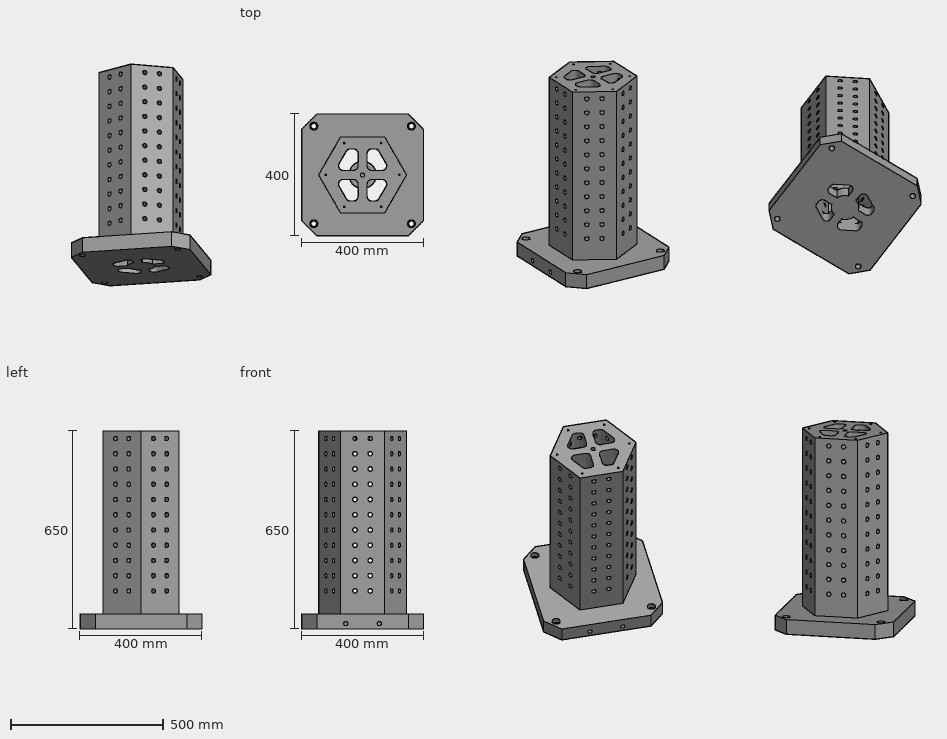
import cadquery as cq
import math

DRILL_POINT_ANGLE = 118.0

BASE_SIZE = 400.0
BASE_THICKNESS = 50.0
BASE_CORNER_CUT = 50.0

TOTAL_HEIGHT = 650.0
HEX_ACROSS_FLATS = 250.0
HEX_SIDES = 6
WALL_THICKNESS = 40.0
CAVITY_ACROSS_FLATS = HEX_ACROSS_FLATS - 2 * WALL_THICKNESS

WEB_WIDTH = 30.0
WINDOW_FILLET = 15.0
TOP_WEB_THICKNESS = 70.0

HUB_DIAMETER = 90.0

LIFTING_HOLE_DIAMETER = 13.84
LIFTING_HOLE_DEPTH = 40.0

PIN_HOLE_DIAMETER = 5.0
PIN_HOLE_DEPTH = 10.0
PIN_CIRCLE_RADIUS = 121.0

FIXTURE_HOLE_DIAMETER = 14.0
FIXTURE_HOLE_DEPTH = WALL_THICKNESS
FIXTURE_HOLE_SPACING = 50.0
FIXTURE_ROW_PITCH = 50.0
FIXTURE_ROW_COUNT = 11
TOP_ROW_INSET = 25.0

MOUNT_HOLE_SPACING = 320.0
MOUNT_HOLE_DIAMETER = 18.0
COUNTERBORE_DIAMETER = 26.0
COUNTERBORE_DEPTH = 18.0

EDGE_HOLE_SPACING = 110.0
EDGE_HOLE_HEIGHT = 18.0
EDGE_HOLE_DIAMETER = 14.0
EDGE_HOLE_DEPTH = 30.0


def hex_prism(across_flats, bottom, top):
    """Hexagonal prism with corners on the X axis."""
    across_corners = across_flats / math.cos(math.pi / HEX_SIDES)
    plane = cq.Workplane("XY", origin=(0, 0, bottom))
    return plane.polygon(HEX_SIDES, across_corners).extrude(top - bottom)


def drilled_hole(diameter, depth, start, direction):
    """Round blind hole with a conical drill point beyond its full depth."""
    radius = diameter / 2
    point = radius / math.tan(math.radians(DRILL_POINT_ANGLE / 2))
    origin = cq.Vector(*start)
    axis = cq.Vector(*direction)
    shank = cq.Solid.makeCylinder(radius, depth, origin, axis)
    tip = cq.Solid.makeCone(radius, 0, point, origin + axis * depth, axis)
    return cq.Workplane(obj=shank).union(cq.Workplane(obj=tip))


def make_base():
    plate = cq.Workplane("XY").box(BASE_SIZE, BASE_SIZE, BASE_THICKNESS, centered=(True, True, False))
    return plate.edges("|Z").chamfer(BASE_CORNER_CUT)


def make_windows():
    """Four rounded through openings left between the arms of the cross web."""
    cross = cq.Workplane("XY").box(HEX_ACROSS_FLATS, WEB_WIDTH, TOTAL_HEIGHT, centered=(True, True, False))
    cross = cross.union(cross.rotate((0, 0, 0), (0, 0, 1), 90))
    windows = hex_prism(CAVITY_ACROSS_FLATS, 0, TOTAL_HEIGHT).cut(cross)
    return windows.edges("|Z").fillet(WINDOW_FILLET)


def make_cavity():
    """Hollow inside the tower between the base and the top web."""
    return hex_prism(CAVITY_ACROSS_FLATS, BASE_THICKNESS, TOTAL_HEIGHT - TOP_WEB_THICKNESS)


def make_hub():
    """Round hub where the arms of the lower web meet."""
    return cq.Workplane("XY").circle(HUB_DIAMETER / 2).extrude(BASE_THICKNESS)


def make_fixture_holes():
    """Rows of paired holes drilled through the wall on each tower face."""
    top_row = TOTAL_HEIGHT - TOP_ROW_INSET
    face_holes = cq.Workplane("XY")
    for row in range(FIXTURE_ROW_COUNT):
        for side in (-1, 1):
            height = top_row - row * FIXTURE_ROW_PITCH
            start = (side * FIXTURE_HOLE_SPACING / 2, -HEX_ACROSS_FLATS / 2, height)
            hole = drilled_hole(FIXTURE_HOLE_DIAMETER, FIXTURE_HOLE_DEPTH, start, (0, 1, 0))
            face_holes.add(hole)
    face_holes = face_holes.combine()
    holes = cq.Workplane("XY")
    for face in range(HEX_SIDES):
        holes.add(face_holes.rotate((0, 0, 0), (0, 0, 1), face * 360 / HEX_SIDES))
    return holes.combine()


def cut_mount_holes(body):
    plane = cq.Workplane("XY", origin=(0, 0, BASE_THICKNESS))
    corners = plane.rect(MOUNT_HOLE_SPACING, MOUNT_HOLE_SPACING, forConstruction=True).vertices()
    bores = corners.circle(MOUNT_HOLE_DIAMETER / 2).extrude(-BASE_THICKNESS)
    counterbores = corners.circle(COUNTERBORE_DIAMETER / 2).extrude(-COUNTERBORE_DEPTH)
    return body.cut(bores).cut(counterbores)


def cut_top_holes(body):
    for corner in range(HEX_SIDES):
        angle = math.radians(corner * 360 / HEX_SIDES)
        start = (PIN_CIRCLE_RADIUS * math.cos(angle), PIN_CIRCLE_RADIUS * math.sin(angle), TOTAL_HEIGHT)
        body = body.cut(drilled_hole(PIN_HOLE_DIAMETER, PIN_HOLE_DEPTH, start, (0, 0, -1)))
    lifting = drilled_hole(LIFTING_HOLE_DIAMETER, LIFTING_HOLE_DEPTH, (0, 0, TOTAL_HEIGHT), (0, 0, -1))
    return body.cut(lifting)


def cut_edge_holes(body):
    for side in (-1, 1):
        start = (side * EDGE_HOLE_SPACING / 2, -BASE_SIZE / 2, EDGE_HOLE_HEIGHT)
        body = body.cut(drilled_hole(EDGE_HOLE_DIAMETER, EDGE_HOLE_DEPTH, start, (0, 1, 0)))
    return body


body = make_base().union(hex_prism(HEX_ACROSS_FLATS, BASE_THICKNESS, TOTAL_HEIGHT))
body = body.cut(make_windows())
body = body.cut(make_cavity())
body = body.union(make_hub())
body = body.cut(make_fixture_holes())
body = cut_mount_holes(body)
body = cut_top_holes(body)
result = cut_edge_holes(body)